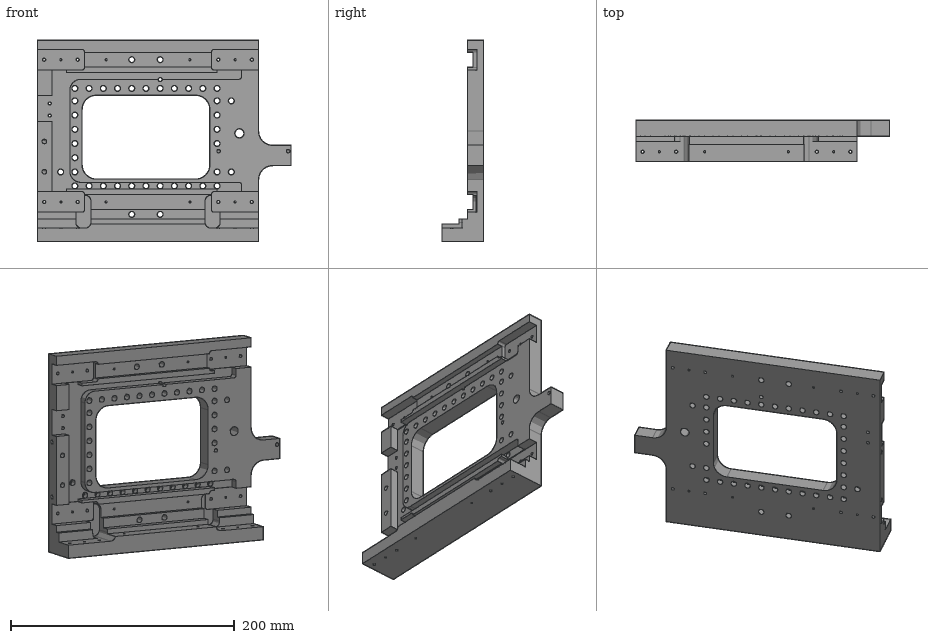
import cadquery as cq
import math


total_length = 227.0
plate_width = 198.0
plate_height = 180.0
plate_thickness = 14.5
foot_height = 37.2
tab_width = 18.5
tab_center_z = 77.0
tab_root_radius = 12.5
center_x = plate_width / 2

shelf_top_z = 20.2
middle_foot_top_z = 16.0
middle_shelf_height = 22.0
end_foot_top_z = 12.0
end_shelf_height = 19.0

slot_inner_offset = 51.0
slot_outer_offset = 64.5
slot_top_z = 41.3
slot_floor = 6.5
slot_corner_radius = 5.0

rail_mid_z = 99.0
rail_spacing = 127.1
rail_rows = [rail_mid_z - rail_spacing / 2, rail_mid_z + rail_spacing / 2]
channel_width = 13.2
channel_floor = 9.5
pad_length = 42.2
pad_width = 18.5
pad_floor = 6.0
pad_corner_radius = 2.3

recess_floor = 6.5
recess_right_x = 182.5
recess_corner_radius = 2.3
recess_outer_half = (rail_spacing - channel_width) / 2
frame_left_x = 29.0
frame_half_height = 46.0
frame_corner_radius = 10.0
strip_left_x = 26.0
strip_right_x = 160.7
strip_inner_half = 52.0
block_width = 13.0
upper_block_bottom_z = 130.5
lower_block_top_z = 107.1

window_width = 114.0
window_height = 74.7
window_corner_radius = 12.5
window_center_x = 97.2
window_center_z = 93.3
hole_pitch = 12.7
column_count = 11
row_end_offset = 43.5
side_row_top_offset = 32.5
side_row_count = 6
skipped_right_row = 4
grid_hole_diameter = 5.0

screw_hole_diameter = 2.5
pin_hole_diameter = 1.5
dowel_hole_diameter = 3.5
dowel_hole_z = 144.8
pivot_hole_diameter = 8.0
pivot_hole_x = 180.7
pivot_hole_z = 96.7
end_hole_offset = 77.9
end_hole_spacing = 15.0
middle_pin_offset = 37.5
foot_hole_height = 28.4
foot_bolt_z = 24.3
bolt_column_numbers = [4, 6]
notch_hole_x = 11.1
notch_hole_rows = [112.5, 123.5]

drill_point_angle = 118.0
block_hole_diameter = 4.0
block_hole_depth = 9.0
block_hole_x = 6.4
block_hole_rows = [62.5, 89.5]
tab_hole_diameter = 3.2
tab_hole_depth = 9.0
tab_hole_columns = [162.0, 224.3]
tab_hole_z = 80.8
side_hole_diameter = 3.5
side_hole_depth = 9.0
side_hole_height = 6.1
side_hole_rows = [50.8, 100.8]


def slab(x_left, x_right, z_bottom, z_top, low, high):
    """Box between two X, two Z and two heights above the back face."""
    return cq.Workplane("XY").box(
        x_right - x_left, high - low, z_top - z_bottom, centered=False
    ).translate((x_left, -high, z_bottom))


def drill_front(points, diameter):
    """Pins along Y, long enough to pass through the whole part."""
    return cq.Workplane("XZ").pushPoints(points).circle(diameter / 2).extrude(foot_height)


def drill_foot(columns, diameter):
    """Pins along Z through the foot, stopping at the shelf."""
    points = [(x, -foot_hole_height) for x in columns]
    return cq.Workplane("XY").pushPoints(points).circle(diameter / 2).extrude(shelf_top_z)


def blind_drill(start, direction, diameter, depth):
    """Drill shape with a conical point."""
    radius = diameter / 2
    point_length = radius / math.tan(math.radians(drill_point_angle / 2))
    axis = cq.Vector(*direction)
    mouth = cq.Vector(*start)
    shank = cq.Solid.makeCylinder(radius, depth, mouth, axis)
    point = cq.Solid.makeCone(radius, 0, point_length, mouth + axis * depth, axis)
    return cq.Workplane(obj=shank.fuse(point))


def make_plate():
    plate = slab(0, plate_width, 0, plate_height, 0, plate_thickness)
    tab_low = tab_center_z - tab_width / 2
    tab_high = tab_center_z + tab_width / 2
    tab = slab(center_x, total_length, tab_low, tab_high, 0, plate_thickness)
    reach = tab_root_radius / 2
    root = cq.selectors.BoxSelector(
        (plate_width - reach, -plate_thickness, tab_low - reach),
        (plate_width + reach, 0, tab_high + reach),
    )
    return plate.union(tab).edges("|Y").edges(root).fillet(tab_root_radius)


def make_foot():
    """Stepped foot; its raised middle runs out into the rounded inner edge of each slot."""
    middle_half = slot_inner_offset + slot_corner_radius
    middle_left = center_x - middle_half
    middle_right = center_x + middle_half
    foot = slab(0, plate_width, 0, end_foot_top_z, 0, foot_height)
    foot = foot.union(slab(0, plate_width, 0, shelf_top_z, 0, end_shelf_height))
    foot = foot.union(slab(middle_left, middle_right, 0, middle_foot_top_z, 0, foot_height))
    return foot.union(slab(middle_left, middle_right, 0, shelf_top_z, 0, middle_shelf_height))


def make_slots():
    slots = cq.Workplane("XZ")
    for left in (center_x - slot_outer_offset, center_x + slot_inner_offset):
        right = left + slot_outer_offset - slot_inner_offset
        slot = slab(left, right, end_foot_top_z, slot_top_z, slot_floor, foot_height)
        slots = slots.add(slot.edges("|Y").fillet(slot_corner_radius))
    return slots.combine()


def make_rail_cuts():
    """Channel along each rail row, with a deeper pad pocket open at each end."""
    cuts = cq.Workplane("XZ")
    for z in rail_rows:
        low, high = z - channel_width / 2, z + channel_width / 2
        cuts = cuts.add(slab(0, plate_width, low, high, channel_floor, plate_thickness))
        low, high = z - pad_width / 2, z + pad_width / 2
        for left, right in (
            (-pad_corner_radius, pad_length),
            (plate_width - pad_length, plate_width + pad_corner_radius),
        ):
            pad = slab(left, right, low, high, pad_floor, plate_thickness)
            cuts = cuts.add(pad.edges("|Y").fillet(pad_corner_radius))
    return cuts.combine()


def make_recess():
    """Shallow field left of the frame with an arm above and below it."""

    def layer(x_left, x_right, low_offset, high_offset):
        return slab(
            x_left, x_right, rail_mid_z + low_offset, rail_mid_z + high_offset,
            recess_floor, plate_thickness,
        )

    recess = layer(0, window_center_x, -recess_outer_half, recess_outer_half)
    frame = layer(frame_left_x, plate_width, -frame_half_height, frame_half_height)
    recess = recess.cut(frame.edges("|Y and <X").fillet(frame_corner_radius))
    for low, high in (
        (-recess_outer_half, -frame_half_height),
        (frame_half_height, recess_outer_half),
    ):
        arm = layer(window_center_x, recess_right_x, low, high)
        recess = recess.union(arm.edges("|Y and >X").fillet(recess_corner_radius))
    for low, high in (
        (-recess_outer_half, -strip_inner_half),
        (strip_inner_half, recess_outer_half),
    ):
        recess = recess.cut(layer(strip_left_x, strip_right_x, low, high))
    upper_block = slab(0, block_width, upper_block_bottom_z, plate_height, 0, foot_height)
    lower_block = slab(0, block_width, 0, lower_block_top_z, 0, foot_height)
    return recess.cut(upper_block).cut(lower_block)


def make_window():
    half_width = window_width / 2
    half_height = window_height / 2
    window = slab(
        window_center_x - half_width, window_center_x + half_width,
        window_center_z - half_height, window_center_z + half_height,
        0, plate_thickness,
    )
    return window.edges("|Y").fillet(window_corner_radius)


first_column_x = window_center_x - (column_count - 1) / 2 * hole_pitch
column_x = [first_column_x + i * hole_pitch for i in range(column_count)]
top_side_z = window_center_z + side_row_top_offset
side_z = [top_side_z - i * hole_pitch for i in range(side_row_count)]

grid_points = []
for x in column_x:
    grid_points.append((x, window_center_z + row_end_offset))
    grid_points.append((x, window_center_z - row_end_offset))
for row, z in enumerate(side_z):
    grid_points.append((column_x[0], z))
    if row != skipped_right_row:
        grid_points.append((column_x[-1], z))
grid_points += [(column_x[-1] + hole_pitch, z) for z in (side_z[0], side_z[-1])]
grid_points.append((column_x[0] - hole_pitch, side_z[-1]))
bolt_columns = [column_x[i] for i in bolt_column_numbers]
grid_points += [(x, z) for x in bolt_columns for z in (foot_bolt_z, rail_rows[1])]

end_columns = [center_x - end_hole_offset, center_x + end_hole_offset]
screw_columns = [x + side * end_hole_spacing for x in end_columns for side in (-1, 1)]
pin_columns = end_columns + [center_x - middle_pin_offset, center_x + middle_pin_offset]
screw_points = [(x, z) for x in screw_columns for z in rail_rows]
screw_points += [(notch_hole_x, z) for z in notch_hole_rows]
pin_points = [(x, z) for x in pin_columns for z in rail_rows]

result = make_plate().union(make_foot())
for cutter in (make_slots(), make_rail_cuts(), make_recess(), make_window()):
    result = result.cut(cutter)

result = result.cut(drill_front(grid_points, grid_hole_diameter))
result = result.cut(drill_front(screw_points, screw_hole_diameter))
result = result.cut(drill_front(pin_points, pin_hole_diameter))
result = result.cut(drill_front([(bolt_columns[-1], dowel_hole_z)], dowel_hole_diameter))
result = result.cut(drill_front([(pivot_hole_x, pivot_hole_z)], pivot_hole_diameter))
result = result.cut(drill_foot(screw_columns, screw_hole_diameter))
result = result.cut(drill_foot(pin_columns, pin_hole_diameter))

for z in block_hole_rows:
    start = (block_hole_x, -plate_thickness, z)
    result = result.cut(blind_drill(start, (0, 1, 0), block_hole_diameter, block_hole_depth))
for x in tab_hole_columns:
    start = (x, -plate_thickness, tab_hole_z)
    result = result.cut(blind_drill(start, (0, 1, 0), tab_hole_diameter, tab_hole_depth))
for z in side_hole_rows:
    start = (0, -side_hole_height, z)
    result = result.cut(blind_drill(start, (1, 0, 0), side_hole_diameter, side_hole_depth))